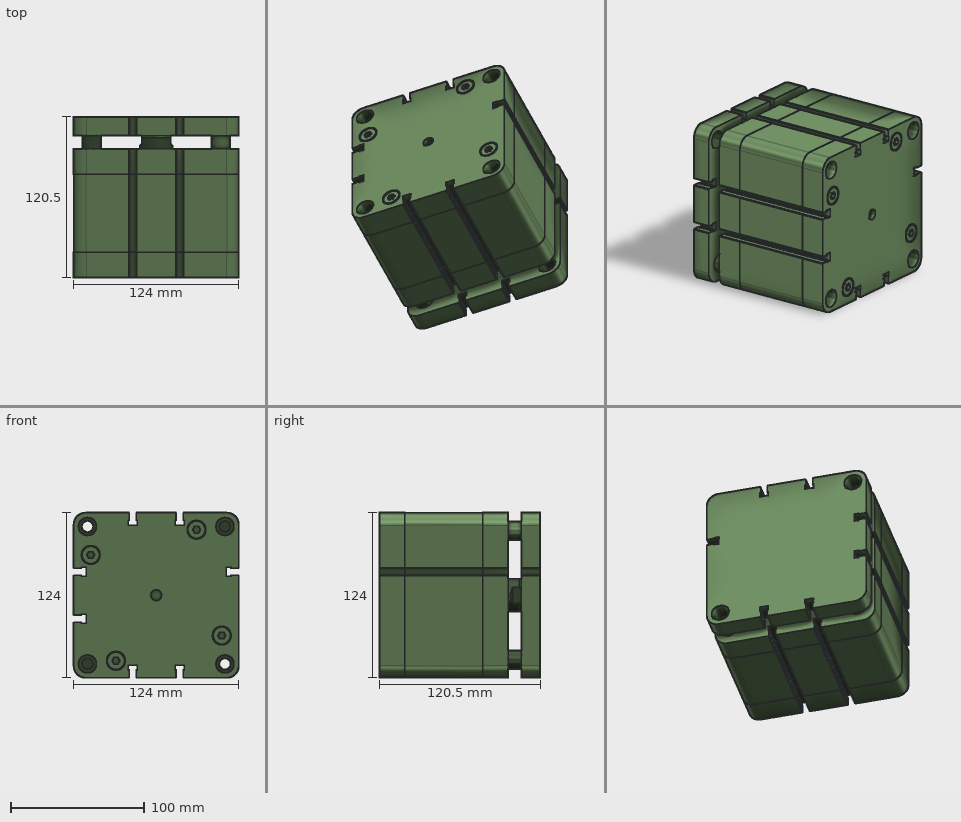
import cadquery as cq
import math

SIDE = 124.0
BARREL_INSET = 0.1
CAP_LENGTH = 19.0
BARREL_LENGTH = 58.5
GAP = 10.0
PLATE_THICKNESS = 14.0
CAP_CORNER_RADIUS = 9.5
BARREL_CORNER_RADIUS = 9.0

SLOT_SPACING = 35.2
SLOT_NECK_WIDTH = 5.2
SLOT_NECK_DEPTH = 5.9
SLOT_WIDTH = 6.5
SLOT_DEPTH = 9.4
SLOT_MOUTH_CHAMFER = 0.5

CORNER_HOLE_OFFSET = 51.5
COUNTERBORE_DIAMETER = 13.5
COUNTERBORE_DEPTH = 12.0
CORNER_HOLE_DIAMETER = 8.38

SCREW_OFFSET_LONG = 49.1
SCREW_OFFSET_SHORT = 30.2
SCREW_HEAD_DIAMETER = 13.0
SCREW_RECESS_DIAMETER = 14.0
SCREW_GROOVE_DEPTH = 1.0
HEX_ACROSS_FLATS = 5.0
HEX_DEPTH = 3.0

CENTRE_HOLE_DIAMETER = 8.0
CENTRE_HOLE_DEPTH = 4.0

GUIDE_ROD_DIAMETER = 14.0
GUIDE_ROD_OFFSET = 48.3

ROD_DIAMETER = 25.0
ROD_ACROSS_FLATS = 22.0
FLAT_LENGTH = 6.5
ROD_CHAMFER_LENGTH = 1.5
ROD_CHAMFER_HEIGHT = 0.5

BARREL_SIDE = SIDE - 2 * BARREL_INSET
REAR_CAP_START = CAP_LENGTH + BARREL_LENGTH
BODY_LENGTH = REAR_CAP_START + CAP_LENGTH
PLATE_START = BODY_LENGTH + GAP
TURN_TO_PLUS_X = 90


def section(y):
    """Sketch plane across the axis at y: local x is X, local y is Z, extrusion runs towards +Y."""
    return cq.Workplane(cq.Plane(origin=(0, y, 0), xDir=(1, 0, 0), normal=(0, -1, 0)))


def cylinder(x, z, y, diameter, length):
    return section(y).center(x, z).circle(diameter / 2).extrude(-length)


def rounded_block(y, length, side, corner_radius):
    return section(y).rect(side, side).extrude(-length).edges("|Y").fillet(corner_radius)


def slot(y, length, side, offset, turn):
    """Undercut slot in the +Z side of a block at X = offset, turned about the axis."""
    surface = side / 2
    neck = SLOT_NECK_WIDTH / 2
    base = SLOT_WIDTH / 2
    mouth = neck + SLOT_MOUTH_CHAMFER
    right_half = [
        (mouth, surface),
        (neck, surface - SLOT_MOUTH_CHAMFER),
        (neck, surface - SLOT_NECK_DEPTH),
        (base, surface - SLOT_NECK_DEPTH),
        (base, surface - SLOT_DEPTH),
    ]
    left_half = [(-x, z) for x, z in reversed(right_half)]
    outline = [(offset + x, z) for x, z in right_half + left_half]
    cutter = section(y).polyline(outline).close().extrude(-length)
    return cutter.rotate((0, 0, 0), (0, 1, 0), turn)


def piston_rod():
    """Rod with two wrench flats, ending in 45 degree run-outs, at the yoke plate."""
    radius = ROD_DIAMETER / 2
    run_out = (ROD_DIAMETER - ROD_ACROSS_FLATS) / 2
    flat_start = PLATE_START - FLAT_LENGTH
    rod_profile = [
        (0, BODY_LENGTH),
        (radius, BODY_LENGTH),
        (radius, PLATE_START - ROD_CHAMFER_LENGTH),
        (radius - ROD_CHAMFER_HEIGHT, PLATE_START),
        (0, PLATE_START),
    ]
    rod = cq.Workplane("XY").polyline(rod_profile).close().revolve(360, (0, 0, 0), (0, 1, 0))
    half_flats = ROD_ACROSS_FLATS / 2
    flat_outline = [
        (half_flats, PLATE_START),
        (half_flats, flat_start),
        (radius, flat_start - run_out),
        (radius, PLATE_START),
    ]
    flat_cutter = cq.Workplane("XY").polyline(flat_outline).close().extrude(radius, both=True)
    return rod.cut(flat_cutter).cut(flat_cutter.mirror("YZ"))


def cap_screw_cut(x, z):
    """Ring groove around a flush screw head, plus the head's hexagon socket."""
    ring = (
        section(0).center(x, z)
        .circle(SCREW_RECESS_DIAMETER / 2)
        .circle(SCREW_HEAD_DIAMETER / 2)
        .extrude(-SCREW_GROOVE_DEPTH)
    )
    hex_across_corners = HEX_ACROSS_FLATS / math.cos(math.radians(30))
    socket = section(0).center(x, z).polygon(6, hex_across_corners).extrude(-HEX_DEPTH)
    return ring.add(socket).combine()


def profile(y, length, side, corner_radius):
    """Slotted block: two slots on +Z, -Z and -X, only the upper one on +X."""
    block = rounded_block(y, length, side, corner_radius)
    for turn in (0, TURN_TO_PLUS_X, 180, 270):
        for offset in (-SLOT_SPACING / 2, SLOT_SPACING / 2):
            lower_slot_on_plus_x = turn == TURN_TO_PLUS_X and offset > 0
            if not lower_slot_on_plus_x:
                block = block.cut(slot(y, length, side, offset, turn))
    return block


result = profile(0, CAP_LENGTH, SIDE, CAP_CORNER_RADIUS)
result = result.union(profile(CAP_LENGTH, BARREL_LENGTH, BARREL_SIDE, BARREL_CORNER_RADIUS))
result = result.union(profile(REAR_CAP_START, CAP_LENGTH, SIDE, CAP_CORNER_RADIUS))
result = result.union(profile(PLATE_START, PLATE_THICKNESS, SIDE, CAP_CORNER_RADIUS))

for sign_x in (-1, 1):
    for sign_z in (-1, 1):
        x = sign_x * CORNER_HOLE_OFFSET
        z = sign_z * CORNER_HOLE_OFFSET
        result = result.cut(cylinder(x, z, 0, COUNTERBORE_DIAMETER, COUNTERBORE_DEPTH))
        if sign_x == sign_z:
            result = result.cut(cylinder(x, z, 0, CORNER_HOLE_DIAMETER, CAP_LENGTH))
        else:
            result = result.cut(cylinder(x, z, 0, CORNER_HOLE_DIAMETER, BODY_LENGTH))
            result = result.cut(cylinder(x, z, PLATE_START, COUNTERBORE_DIAMETER, PLATE_THICKNESS))

screw_x, screw_z = SCREW_OFFSET_SHORT, SCREW_OFFSET_LONG
for _ in range(4):
    result = result.cut(cap_screw_cut(screw_x, screw_z))
    screw_x, screw_z = screw_z, -screw_x
result = result.cut(cylinder(0, 0, 0, CENTRE_HOLE_DIAMETER, CENTRE_HOLE_DEPTH))

for sign in (-1, 1):
    offset = sign * GUIDE_ROD_OFFSET
    result = result.union(cylinder(offset, offset, BODY_LENGTH, GUIDE_ROD_DIAMETER, GAP))
result = result.union(piston_rod())